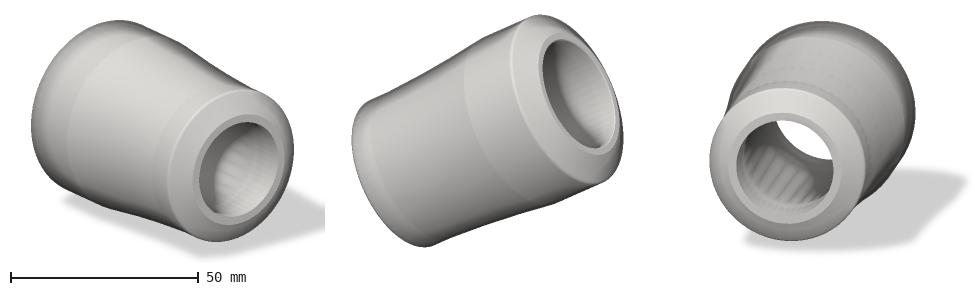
import cadquery as cq
import math

length = 64.0
wide_band_end = 20.0
narrow_band_start = 53.95
bore_chamfer = 0.25
entry_bore_depth = 12.0

wide_radius = 48.3 / 2
narrow_radius = 42.4 / 2
wide_face_radius = 17.35
narrow_face_radius = 15.35
waist_sag = 0.4

entry_bore_radius = 30.7 / 2
exit_bore_radius = 26.4 / 2

bevel_slope = math.tan(math.radians(60))
bevel_blend_radius = 1.0
wide_bevel_end = (wide_radius - wide_face_radius) / bevel_slope
narrow_bevel_start = length - (narrow_radius - narrow_face_radius) / bevel_slope


def make_body():
    """Solid of revolution: bevel, wide band, concave waist, narrow band, bevel."""
    waist_middle = (
        (wide_band_end + narrow_band_start) / 2,
        (wide_radius + narrow_radius) / 2 - waist_sag,
    )
    profile = (
        cq.Workplane("XY")
        .lineTo(0, wide_face_radius)
        .lineTo(wide_bevel_end, wide_radius)
        .lineTo(wide_band_end, wide_radius)
        .threePointArc(waist_middle, (narrow_band_start, narrow_radius))
        .lineTo(narrow_bevel_start, narrow_radius)
        .lineTo(length, narrow_face_radius)
        .lineTo(length, 0)
        .close()
    )
    return profile.revolve(360, (0, 0, 0), (1, 0, 0))


def blend_bevel(body, bevel_x):
    """Round the circular edge where a bevel meets its cylindrical band."""
    reach = 0.05
    box = cq.selectors.BoxSelector(
        (bevel_x - reach, -wide_radius, -wide_radius),
        (bevel_x + reach, wide_radius, wide_radius),
    )
    return body.edges(box).fillet(bevel_blend_radius)


def make_bore():
    """Through bore with a chamfered mouth and a cone between its two diameters."""
    profile = (
        cq.Workplane("XY")
        .lineTo(0, entry_bore_radius + bore_chamfer)
        .lineTo(bore_chamfer, entry_bore_radius)
        .lineTo(entry_bore_depth, entry_bore_radius)
        .lineTo(narrow_band_start, exit_bore_radius)
        .lineTo(length, exit_bore_radius)
        .lineTo(length, 0)
        .close()
    )
    return profile.revolve(360, (0, 0, 0), (1, 0, 0))


body = make_body()
for bevel_x in (wide_bevel_end, narrow_bevel_start):
    body = blend_bevel(body, bevel_x)

result = body.cut(make_bore())